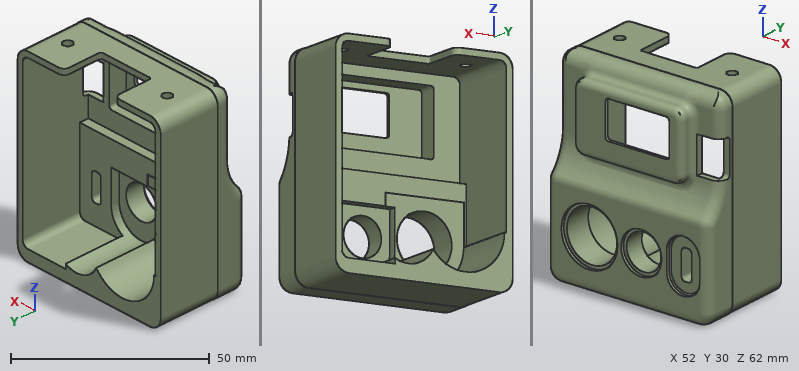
import cadquery as cq
import math

WIDTH = 52.0
DEPTH = 30.0
HEIGHT = 62.0
FRONT_Y = -DEPTH

WALL = 2.0
INNER_HALF_WIDTH = WIDTH / 2 - WALL
INNER_TOP_Z = HEIGHT - WALL
CAVITY_CORNER_RADIUS = 2.0

SHELL_CORNER_RADIUS = 4.0
FRONT_EDGE_RADIUS = 3.0
TOP_FRONT_EDGE_RADIUS = 4.0

FRONT_SHELL_DEPTH = 10.0
FRONT_SHELL_BACK_Y = FRONT_Y + FRONT_SHELL_DEPTH
REAR_SHELL_INSET = 0.1

STEP_DEPTH = 5.0
STEP_Y = FRONT_Y + STEP_DEPTH
SWEEP_RADIUS = 15.0
SWEEP_ANGLE = math.acos(1 - STEP_DEPTH / SWEEP_RADIUS)
SWEEP_TOP_Z = 40.2
SWEEP_BOTTOM_Z = SWEEP_TOP_Z - SWEEP_RADIUS * math.sin(SWEEP_ANGLE)

BEZEL_WIDTH = 34.8
BEZEL_BOTTOM_Z = 37.0
BEZEL_TOP_Z = 58.0
BEZEL_HEIGHT = BEZEL_TOP_Z - BEZEL_BOTTOM_Z
BEZEL_Z = (BEZEL_TOP_Z + BEZEL_BOTTOM_Z) / 2
BEZEL_CORNER_RADIUS = 3.0
BEZEL_EDGE_RADIUS = 2.0
BEZEL_ROOT_RADIUS = 2.0
BEZEL_EMBED_DEPTH = 2.0
BEZEL_WALL = 1.0
DISPLAY_POCKET_RADIUS = 1.0

WINDOW_WIDTH = 20.4
WINDOW_HEIGHT = 11.7
WINDOW_X = 3.3
WINDOW_Z = 49.4
WINDOW_CORNER_RADIUS = 1.0

ROW_Z = 15.7
BLOCK_TOP_Z = 32.0
USB_CLEARANCE_FLOOR_Z = 4.0
RECESS_DEPTH = 1.0
ROUND_CONNECTORS = (
    (-12.0, 16.0, 18.0, 23.0, ROW_Z, 9.7),
    (4.6, 11.0, 13.0, 16.0, 12.5, 7.2),
)
USB_X = 18.0
USB_RECESS_WIDTH = 10.6
USB_RECESS_HEIGHT = 16.5
USB_RECESS_DEPTH = 1.4
USB_RECESS_CHAMFER = 0.4
USB_SLOT_Z = 15.5
USB_SLOT_WIDTH = 3.3
USB_SLOT_HEIGHT = 9.3
USB_SLOT_RADIUS = 1.2
USB_CLEARANCE_LEFT_X = 8.5

SIDE_OPENING_LEFT_X = 18.6
SIDE_OPENING_BOTTOM_Z = 39.0
SIDE_OPENING_TOP_Z = 50.4
SIDE_OPENING_BACK_Y = -21.2
SIDE_OPENING_RADIUS = 1.0

NOTCH_WIDTH = 18.2
NOTCH_DEPTH = 13.0
NOTCH_MOUTH_RADIUS = 2.0
NOTCH_CORNER_RADIUS = 0.7
SCREW_DIAMETER = 3.0
SCREW_X = 18.0
SCREW_Y = -10.0

CLEAR = 1.0
PICK = 0.5


def box(x_min, x_max, y_min, y_max, z_min, z_max):
    size = (x_max - x_min, y_max - y_min, z_max - z_min)
    return cq.Workplane("XY").box(*size, centered=False).translate((x_min, y_min, z_min))


def sketch_plane(x, z, y):
    """Plane facing the back at the given Y, with its origin at the given X and Z."""
    return cq.Workplane(cq.Plane(origin=(x, y, z), xDir=(-1, 0, 0), normal=(0, 1, 0)))


def cylinder(x, z, diameter, y_min, y_max):
    return sketch_plane(x, z, y_min).circle(diameter / 2).extrude(y_max - y_min)


def rounded_block(x, z, width, height, radius, y_min, y_max):
    block = sketch_plane(x, z, y_min).rect(width, height).extrude(y_max - y_min)
    return block.edges("|Y").fillet(radius)


def stepped_block():
    """Full-width block with the set-back upper front and the arc below it."""
    half_angle = SWEEP_ANGLE / 2
    arc_middle = (
        STEP_Y - SWEEP_RADIUS * (1 - math.cos(half_angle)),
        SWEEP_TOP_Z - SWEEP_RADIUS * math.sin(half_angle),
    )
    return (
        cq.Workplane("YZ")
        .moveTo(0, 0)
        .lineTo(FRONT_Y, 0)
        .lineTo(FRONT_Y, SWEEP_BOTTOM_Z)
        .threePointArc(arc_middle, (STEP_Y, SWEEP_TOP_Z))
        .lineTo(STEP_Y, HEIGHT)
        .lineTo(0, HEIGHT)
        .close()
        .extrude(WIDTH / 2, both=True)
    )


def block_with_bezel():
    """Stepped block with the bezel blended into its front, then the rounded top front edge."""
    bezel = rounded_block(
        0,
        BEZEL_Z,
        BEZEL_WIDTH,
        BEZEL_HEIGHT,
        BEZEL_CORNER_RADIUS,
        FRONT_Y,
        STEP_Y + BEZEL_EMBED_DEPTH,
    )
    bezel = bezel.faces("<Y").edges().fillet(BEZEL_EDGE_RADIUS)
    half = BEZEL_WIDTH / 2 + PICK
    root_zone = cq.selectors.BoxSelector(
        (-half, STEP_Y - PICK, BEZEL_BOTTOM_Z - PICK),
        (half, STEP_Y + PICK, BEZEL_TOP_Z + PICK),
    )
    body = stepped_block().union(bezel).edges(root_zone).fillet(BEZEL_ROOT_RADIUS)
    return body.faces(">Z").edges("<Y").fillet(TOP_FRONT_EDGE_RADIUS)


def rounded_envelope():
    """Stepped block with rounded sides, left square across the width of the bezel."""
    body = stepped_block().edges("|Y").fillet(SHELL_CORNER_RADIUS)
    front_zone = cq.selectors.BoxSelector(
        (-WIDTH, FRONT_Y - PICK, -PICK),
        (WIDTH, STEP_Y - PICK, HEIGHT),
    )
    body = body.edges(front_zone).fillet(FRONT_EDGE_RADIUS)
    half = BEZEL_WIDTH / 2 + BEZEL_ROOT_RADIUS + CLEAR
    bezel_zone_bottom_z = BEZEL_BOTTOM_Z - BEZEL_ROOT_RADIUS - CLEAR
    return body.union(box(-half, half, FRONT_Y, 0, bezel_zone_bottom_z, HEIGHT))


def inset_rear_shell(body):
    """Body trimmed behind the front shell, leaving a small step all round."""
    front = box(-WIDTH, WIDTH, FRONT_Y - CLEAR, FRONT_SHELL_BACK_Y, -CLEAR, HEIGHT + CLEAR)
    rear = rounded_block(
        0,
        HEIGHT / 2,
        WIDTH - 2 * REAR_SHELL_INSET,
        HEIGHT - 2 * REAR_SHELL_INSET,
        SHELL_CORNER_RADIUS - REAR_SHELL_INSET,
        FRONT_SHELL_BACK_Y,
        0,
    )
    return body.intersect(front.union(rear))


def main_cavity():
    """Open-backed space above the connector row, reaching forward behind the display."""
    half = INNER_HALF_WIDTH
    rear = box(-half, half, FRONT_SHELL_BACK_Y, CLEAR, ROW_Z, INNER_TOP_Z)
    front = box(-half, half, STEP_Y + WALL, FRONT_SHELL_BACK_Y, BLOCK_TOP_Z, INNER_TOP_Z)
    cavity = rear.union(front).edges("|Y and >Z").fillet(CAVITY_CORNER_RADIUS)
    pocket_width = BEZEL_WIDTH - 2 * BEZEL_WALL
    pocket_height = BEZEL_HEIGHT - 2 * BEZEL_WALL
    display_pocket = rounded_block(
        0,
        BEZEL_Z,
        pocket_width,
        pocket_height,
        DISPLAY_POCKET_RADIUS,
        FRONT_Y + BEZEL_WALL,
        FRONT_SHELL_BACK_Y,
    )
    return cavity.union(display_pocket)


def display_window():
    return rounded_block(
        WINDOW_X, WINDOW_Z, WINDOW_WIDTH, WINDOW_HEIGHT, WINDOW_CORNER_RADIUS, FRONT_Y - CLEAR, STEP_Y
    )


def round_connector(x, bore, recess, trough, trough_z, trough_start):
    tool = cylinder(x, ROW_Z, bore, FRONT_Y - CLEAR, CLEAR)
    tool = tool.union(cylinder(x, ROW_Z, recess, FRONT_Y - CLEAR, FRONT_Y + RECESS_DEPTH))
    half = trough / 2
    trough_y = FRONT_Y + trough_start
    tool = tool.union(cylinder(x, trough_z, trough, trough_y, CLEAR))
    return tool.union(box(x - half, x + half, trough_y, CLEAR, trough_z, ROW_Z + half))


def usb_connector():
    recess = (
        sketch_plane(USB_X, ROW_Z, FRONT_Y)
        .slot2D(USB_RECESS_HEIGHT, USB_RECESS_WIDTH, 90)
        .extrude(USB_RECESS_DEPTH)
    )
    recess = recess.faces(">Y").edges().chamfer(USB_RECESS_CHAMFER)
    slot = rounded_block(
        USB_X,
        USB_SLOT_Z,
        USB_SLOT_WIDTH,
        USB_SLOT_HEIGHT,
        USB_SLOT_RADIUS,
        FRONT_Y,
        FRONT_SHELL_BACK_Y + CLEAR,
    )
    clearance = box(
        USB_CLEARANCE_LEFT_X, INNER_HALF_WIDTH, FRONT_SHELL_BACK_Y, CLEAR, USB_CLEARANCE_FLOOR_Z, ROW_Z
    )
    clearance = clearance.edges("|Y and >X and <Z").fillet(CAVITY_CORNER_RADIUS)
    return recess.union(slot).union(clearance)


def side_opening():
    tool = box(
        SIDE_OPENING_LEFT_X,
        WIDTH / 2 + CLEAR,
        FRONT_Y - CLEAR,
        SIDE_OPENING_BACK_Y,
        SIDE_OPENING_BOTTOM_Z,
        SIDE_OPENING_TOP_Z,
    )
    return tool.edges("|X and >Y").fillet(SIDE_OPENING_RADIUS)


def cable_notch():
    half = NOTCH_WIDTH / 2
    mouth = half + NOTCH_MOUTH_RADIUS
    notch = (
        cq.Workplane("XY", origin=(0, 0, INNER_TOP_Z - CLEAR))
        .moveTo(-mouth, 0)
        .radiusArc((-half, -NOTCH_MOUTH_RADIUS), NOTCH_MOUTH_RADIUS)
        .lineTo(-half, -NOTCH_DEPTH)
        .lineTo(half, -NOTCH_DEPTH)
        .lineTo(half, -NOTCH_MOUTH_RADIUS)
        .radiusArc((mouth, 0), NOTCH_MOUTH_RADIUS)
        .close()
        .extrude(WALL + 2 * CLEAR)
    )
    return notch.edges("|Z and <Y").fillet(NOTCH_CORNER_RADIUS)


def screw_hole(x):
    return (
        cq.Workplane("XY", origin=(x, SCREW_Y, INNER_TOP_Z - CLEAR))
        .circle(SCREW_DIAMETER / 2)
        .extrude(WALL + 2 * CLEAR)
    )


outer_shell = block_with_bezel().intersect(rounded_envelope())
result = inset_rear_shell(outer_shell)
result = result.cut(main_cavity()).cut(display_window())
for connector in ROUND_CONNECTORS:
    result = result.cut(round_connector(*connector))
result = result.cut(usb_connector()).cut(side_opening()).cut(cable_notch())
for side in (-1, 1):
    result = result.cut(screw_hole(side * SCREW_X))